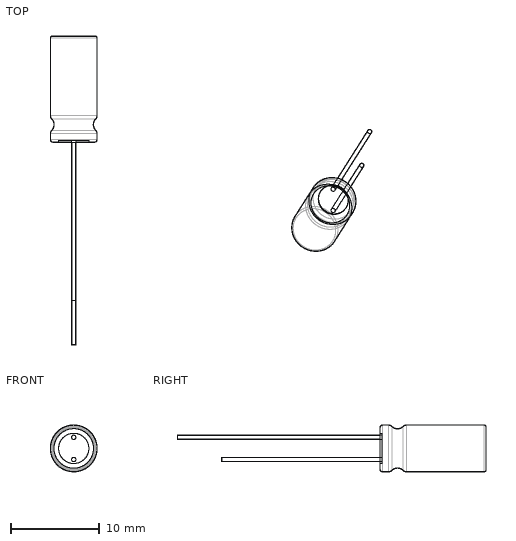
import cadquery as cq
import math

total_length = 34.9
can_length = 12.0
can_radius = 2.65
rim_fillet = 0.3
top_fillet = 0.2

groove_y = 2.0
groove_depth = 0.42
groove_radius = 0.9
shoulder_radius = 0.52

recess_radius = 1.7
recess_depth = 0.2

lead_diameter = 0.5
lead_spacing = 2.5
long_lead = total_length - can_length
lead_step = 5.0
short_lead = long_lead - lead_step
lead_embed = 0.7


def make_can():
    """Revolve the half profile (radius along X, height along Y) about the Y axis."""
    groove_bottom = can_radius - groove_depth
    centre_gap = groove_radius + shoulder_radius
    slope = math.acos(1 - groove_depth / centre_gap)
    half_width = centre_gap * math.sin(slope)
    tangent_y = groove_radius * math.sin(slope)
    tangent_r = groove_bottom + groove_radius * (1 - math.cos(slope))

    shoulder_mid_y = half_width - shoulder_radius * math.sin(slope / 2)
    shoulder_mid_r = can_radius - shoulder_radius * (1 - math.cos(slope / 2))

    profile = (
        cq.Workplane("XY")
        .lineTo(can_radius, 0)
        .lineTo(can_radius, groove_y - half_width)
        .threePointArc((shoulder_mid_r, groove_y - shoulder_mid_y), (tangent_r, groove_y - tangent_y))
        .threePointArc((groove_bottom, groove_y), (tangent_r, groove_y + tangent_y))
        .threePointArc((shoulder_mid_r, groove_y + shoulder_mid_y), (can_radius, groove_y + half_width))
        .lineTo(can_radius, can_length)
        .lineTo(0, can_length)
        .close()
    )
    can = profile.revolve(360, (0, 0, 0), (0, 1, 0))
    return can.faces("<Y").edges().fillet(rim_fillet).faces(">Y").edges().fillet(top_fillet)


def make_recess():
    """Disc removed from the seating face, leaving a rim around the leads."""
    return cq.Workplane("XZ", origin=(0, recess_depth, 0)).circle(recess_radius).extrude(recess_depth)


def make_lead(z, length):
    """Round wire running from inside the can to Y = -length."""
    start_y = recess_depth + lead_embed
    start = cq.Workplane("XZ", origin=(0, start_y, z))
    return start.circle(lead_diameter / 2).extrude(start_y + length)


upper_lead = make_lead(lead_spacing / 2, long_lead)
lower_lead = make_lead(-lead_spacing / 2, short_lead)

result = make_can().cut(make_recess()).union(upper_lead).union(lower_lead)